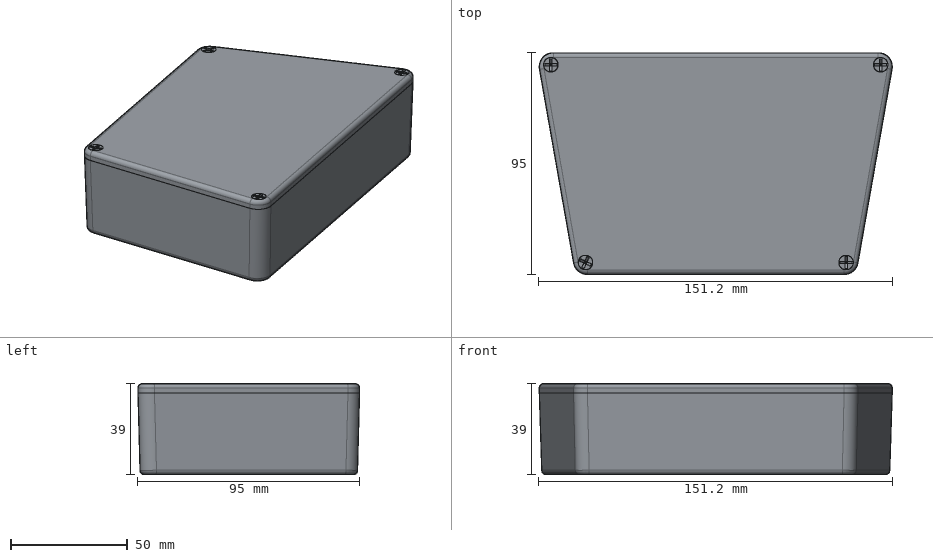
import cadquery as cq
import math

back_width = 151.2
depth_y = 95.0
total_height = 39.0
side_angle = 10.0
corner_radius = 6.0

lid_thickness = 4.0
rim_radius = 2.0
draft_angle = 1.5
housing_height = total_height - lid_thickness

screw_diameter = 6.2
screw_y = 42.3
back_screw_x = 70.6
front_screw_x = 55.8
slot_length = 5.1
slot_width = 1.0
slot_depth = 3.0
turned_screw_angle = 25.0

screw_places = [
    (-back_screw_x, screw_y, 0),
    (back_screw_x, screw_y, 0),
    (-front_screw_x, -screw_y, -turned_screw_angle),
    (front_screw_x, -screw_y, 0),
]

side_slope = math.tan(math.radians(side_angle))
corner_y = depth_y / 2 - corner_radius
back_corner_x = back_width / 2 - corner_radius


def side_x(y):
    """Half width of the sharp-cornered plan outline at the given y."""
    center_x = back_corner_x - (corner_y - y) * side_slope
    return center_x + corner_radius / math.cos(math.radians(side_angle))


def plan_outline(z):
    """Sharp-cornered trapezoid that both enclosure halves share."""
    half_depth = depth_y / 2
    return (
        cq.Workplane("XY", origin=(0, 0, z))
        .moveTo(side_x(-half_depth), -half_depth)
        .lineTo(side_x(half_depth), half_depth)
        .lineTo(-side_x(half_depth), half_depth)
        .lineTo(-side_x(-half_depth), -half_depth)
        .close()
    )


def make_housing():
    """Lower body, narrowing from the parting plane down to a rounded bottom edge."""
    block = plan_outline(housing_height).extrude(-housing_height, taper=draft_angle)
    upright_edges = block.edges("not(#Z)")
    return upright_edges.fillet(corner_radius).faces("<Z").edges().fillet(rim_radius)


def screw_cylinder():
    """Space one screw fills in the lid's thickness, centred on the Z axis."""
    return (
        cq.Workplane("XY", origin=(0, 0, housing_height))
        .circle(screw_diameter / 2)
        .extrude(lid_thickness)
    )


def make_lid():
    """Flat cover with a rounded top edge and one through hole per screw."""
    plate = plan_outline(housing_height).extrude(lid_thickness)
    plate = plate.edges("|Z").fillet(corner_radius).faces(">Z").edges().fillet(rim_radius)
    for x, y, _ in screw_places:
        plate = plate.cut(screw_cylinder().translate((x, y, 0)))
    return plate


def make_screw(x, y, angle):
    """Flush screw whose cross recess, turned by the given angle, deepens toward the middle."""
    screw = screw_cylinder()
    for slot_angle in (0, 90):
        slot = (
            cq.Workplane("XZ", origin=(0, 0, total_height))
            .moveTo(-slot_length / 2, 0)
            .lineTo(slot_length / 2, 0)
            .lineTo(0, -slot_depth)
            .close()
            .extrude(slot_width / 2, both=True)
            .rotate((0, 0, 0), (0, 0, 1), angle + slot_angle)
        )
        screw = screw.cut(slot)
    return screw.translate((x, y, 0))


housing = make_housing()
lid = make_lid()
screws = [make_screw(x, y, angle) for x, y, angle in screw_places]

result = cq.Compound.makeCompound([housing.val(), lid.val(), *[screw.val() for screw in screws]])